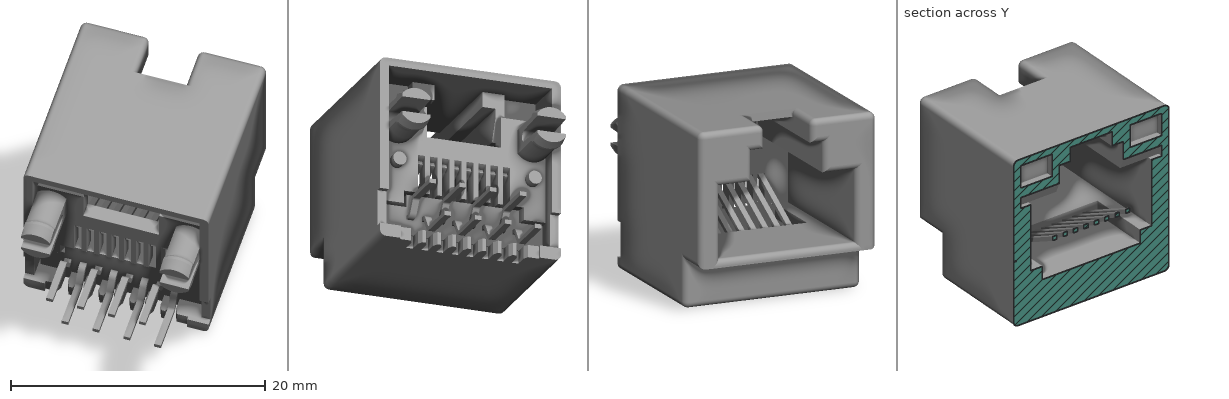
import cadquery as cq
import math


WIDTH = 15.24
HEIGHT = 15.08
LENGTH = 15.7
OVERALL_LENGTH = 19.0
EDGE_RADIUS = 0.5
STEP_LENGTH = 2.97
STEP_Z = 3.95
SIDE_WALL = 0.74
TOP_WALL = 0.65
BOTTOM_WALL = 1.04
INNER_WIDTH = WIDTH - 2 * SIDE_WALL
CEILING_Z = HEIGHT - TOP_WALL

RELIEF_DEPTH = 0.52
RELIEF_TOP_Z = 3.98

PLATE_Y = 1.43
PLATE_THICKNESS = 1.2
PLATE_BACK_Y = PLATE_Y + PLATE_THICKNESS
PLATE_TOP_Z = 11.98
WINDOW_FLOOR_Z = 9.43

PLUG_WIDTH = 11.75
PLUG_FLOOR_Z = STEP_Z + TOP_WALL
PLUG_CEILING_Z = 10.6
LATCH_WIDTH = 6.24
LATCH_STEP_Z = 13.16
NOTCH_WIDTH = 4.05
NOTCH_LENGTH = 3.68

SLOPE_TOP_Z = 12.45
SLOPE_RUN = 0.8
POCKET_INNER_X = 3.86
POCKET_DEPTH = 1.0

COVER_Y = 1.7
COVER_WIDTH = 13.46
COVER_SHOULDER_Z = 3.4
COVER_NECK_WIDTH = 9.46
COVER_TOP_Z = 4.44
COVER_GAP = 0.2
NECK_SIDE_GAP = 0.32
RECESS_WIDTH = 9.56
RECESS_END_Y = 8.68
TONGUE_TOP_Z = 3.4

CONTACT_COUNT = 8
CONTACT_PITCH = 1.02
SLOT_WIDTH = 0.61
SLOT_TOP_Z = 7.82
CONTACT_WIDTH = 0.46
CONTACT_THICKNESS = 0.36
CONTACT_TIP_Y = 1.75
CONTACT_TIP_Z = 7.2
CONTACT_ANGLE = 27.0
CONTACT_ROOT_Z = 3.2

PIN_PITCH = 1.27
PIN_WIDTH = 0.55
PIN_THICKNESS = 0.36
PIN_EXIT_Z = 2.52
PIN_ROW_OFFSET = 1.28
PIN_TIP_Y = LENGTH - OVERALL_LENGTH
PIN_BEND_Y = 0.4
PIN_BEND_ANGLE = 57.0
PIN_BEND_RADIUS = 0.25
PIN_ROOT_Y = COVER_Y + 0.5

TOOTH_TIP_Y = 0.25
TOOTH_CHAMFER_WIDTH = 0.21
TOOTH_CHAMFER_LENGTH = 0.45
PIN_GAP_END_Y = COVER_Y + 0.1
FOOT_INNER_X = 5.86

POST_X = 5.7
POST_Z = 10.12
POST_RADIUS = 1.555
POST_WIDTH = 2.37
POST_LENGTH = 2.97
BARB_RADIUS = 1.685
BARB_START = 1.6
BARB_RIDGE_START = 1.8
BARB_RIDGE_END = 2.05
POST_TIP_RADIUS = 1.47
POST_GAP_ROOT = 0.94
POST_GAP_TIP = 1.23
PEG_DIAMETER = 1.1
PEG_Z = 7.01
PEG_LENGTH = 0.8


def block(x0, x1, y0, y1, z0, z1):
    """Box between two corners."""
    return cq.Workplane("XY").box(x1 - x0, y1 - y0, z1 - z0, centered=False).translate((x0, y0, z0))


def centered_block(width, y0, y1, z0, z1):
    """Box symmetric about x = 0."""
    return block(-width / 2, width / 2, y0, y1, z0, z1)


def side_profile(points, x_center, width):
    """Closed (y, z) outline extruded along X about x_center."""
    return cq.Workplane("YZ").polyline(points).close().extrude(width / 2, both=True).translate((x_center, 0, 0))


def row_positions(count, pitch):
    """Positions of a row centered on zero."""
    return [(i - (count - 1) / 2) * pitch for i in range(count)]


CONTACT_XS = row_positions(CONTACT_COUNT, CONTACT_PITCH)
PIN_XS = row_positions(CONTACT_COUNT, PIN_PITCH)


def make_housing():
    lower_end = LENGTH - STEP_LENGTH
    outline = [
        (0, 0), (lower_end, 0), (lower_end, STEP_Z),
        (LENGTH, STEP_Z), (LENGTH, HEIGHT), (0, HEIGHT),
    ]
    body = side_profile(outline, 0, WIDTH)

    body = body.cut(centered_block(PLUG_WIDTH, PLATE_BACK_Y, LENGTH, PLUG_FLOOR_Z, PLUG_CEILING_Z))
    body = body.cut(centered_block(LATCH_WIDTH, PLATE_BACK_Y, LENGTH, PLUG_CEILING_Z, LATCH_STEP_Z))
    body = body.cut(centered_block(NOTCH_WIDTH, PLATE_BACK_Y, LENGTH, LATCH_STEP_Z, CEILING_Z))
    body = body.cut(centered_block(NOTCH_WIDTH, LENGTH - NOTCH_LENGTH, LENGTH, LATCH_STEP_Z, HEIGHT))
    body = round_housing(body)

    body = body.cut(centered_block(INNER_WIDTH, 0, PLATE_BACK_Y, BOTTOM_WALL, CEILING_Z))
    slope = [
        (PLATE_BACK_Y, PLUG_CEILING_Z),
        (PLATE_BACK_Y + SLOPE_RUN, PLUG_CEILING_Z),
        (PLATE_BACK_Y, SLOPE_TOP_Z),
    ]
    body = body.cut(side_profile(slope, 0, INNER_WIDTH))
    for x0, x1 in ((-INNER_WIDTH / 2, -POCKET_INNER_X), (POCKET_INNER_X, INNER_WIDTH / 2)):
        body = body.cut(block(x0, x1, PLATE_BACK_Y, PLATE_BACK_Y + POCKET_DEPTH, SLOPE_TOP_Z, CEILING_Z))

    body = body.cut(centered_block(RECESS_WIDTH, PLATE_BACK_Y, RECESS_END_Y, BOTTOM_WALL, PLUG_FLOOR_Z))
    return body.cut(centered_block(WIDTH, 0, RELIEF_DEPTH, BOTTOM_WALL, RELIEF_TOP_Z))


def round_housing(body):
    """Round the outer long edges, the plug side rim, the step sides and the notch edges."""
    tol = 0.01
    lower_end = LENGTH - STEP_LENGTH

    def is_rounded(edge):
        box = edge.BoundingBox()
        center = edge.Center()
        on_side = abs(abs(center.x) - WIDTH / 2) < tol
        on_top = abs(center.z - HEIGHT) < tol
        on_bottom = abs(center.z) < tol
        along_y = box.ylen > tol
        at_rim = box.ymin > LENGTH - tol and center.z > STEP_Z + tol
        at_lower_end = abs(center.y - lower_end) < tol and not along_y and (on_side or on_bottom)
        notch_edge = on_top and along_y
        side_edge = on_side and along_y
        return at_rim or at_lower_end or notch_edge or side_edge

    edges = [edge for edge in body.edges().vals() if is_rounded(edge)]
    return body.newObject(edges).fillet(EDGE_RADIUS)


def make_bottom_gaps():
    """Space cut from the bottom wall so that shoulders and teeth remain between the pins."""
    gaps = centered_block(2 * FOOT_INNER_X, 0, TOOTH_TIP_Y, 0, BOTTOM_WALL)
    half_gap = PIN_WIDTH / 2
    half_mouth = half_gap + TOOTH_CHAMFER_WIDTH
    chamfer_end = TOOTH_TIP_Y + TOOTH_CHAMFER_LENGTH
    for x in PIN_XS:
        gap = (
            cq.Workplane("XY")
            .polyline([
                (x - half_mouth, TOOTH_TIP_Y), (x + half_mouth, TOOTH_TIP_Y),
                (x + half_gap, chamfer_end), (x + half_gap, PIN_GAP_END_Y),
                (x - half_gap, PIN_GAP_END_Y), (x - half_gap, chamfer_end),
            ])
            .close()
            .extrude(BOTTOM_WALL)
        )
        gaps = gaps.union(gap)
    return gaps


def make_plate():
    shoulder_front_z = COVER_SHOULDER_Z + COVER_GAP
    neck_top = COVER_TOP_Z + COVER_GAP
    outline = [
        (PLATE_Y, shoulder_front_z), (PLATE_BACK_Y, COVER_SHOULDER_Z),
        (PLATE_BACK_Y, PLATE_TOP_Z), (PLATE_Y, PLATE_TOP_Z),
    ]
    plate = side_profile(outline, 0, INNER_WIDTH)
    plate = plate.cut(centered_block(LATCH_WIDTH, PLATE_Y, PLATE_BACK_Y, WINDOW_FLOOR_Z, PLATE_TOP_Z))

    back_half = COVER_NECK_WIDTH / 2
    front_half = back_half + NECK_SIDE_GAP
    neck_opening = (
        cq.Workplane("XY", origin=(0, 0, COVER_SHOULDER_Z))
        .polyline([
            (-front_half, PLATE_Y), (front_half, PLATE_Y),
            (back_half, PLATE_BACK_Y), (-back_half, PLATE_BACK_Y),
        ])
        .close()
        .extrude(neck_top - COVER_SHOULDER_Z)
    )
    plate = plate.cut(neck_opening)

    slot_drop = PLATE_THICKNESS * math.tan(math.radians(CONTACT_ANGLE))
    slot = [
        (PLATE_Y, neck_top), (PLATE_BACK_Y, neck_top),
        (PLATE_BACK_Y, SLOT_TOP_Z - slot_drop), (PLATE_Y, SLOT_TOP_Z),
    ]
    for x in CONTACT_XS:
        plate = plate.cut(side_profile(slot, x, SLOT_WIDTH))
    return plate


def make_contact_block():
    cover = centered_block(COVER_WIDTH, COVER_Y, PLATE_BACK_Y, BOTTOM_WALL, COVER_SHOULDER_Z)
    neck = centered_block(COVER_NECK_WIDTH, COVER_Y, PLATE_BACK_Y, BOTTOM_WALL, COVER_TOP_Z)
    tongue = centered_block(RECESS_WIDTH, PLATE_BACK_Y, RECESS_END_Y, BOTTOM_WALL, TONGUE_TOP_Z)
    return cover.union(neck).union(tongue)


def make_contact(x):
    """Straight strip rising from the cavity floor toward its slot in the plate."""
    slope = math.radians(CONTACT_ANGLE)
    root_y = CONTACT_TIP_Y + (CONTACT_TIP_Z - CONTACT_ROOT_Z) / math.tan(slope)
    top_dy = CONTACT_THICKNESS * math.sin(slope)
    top_dz = CONTACT_THICKNESS * math.cos(slope)
    outline = [
        (CONTACT_TIP_Y, CONTACT_TIP_Z), (root_y, CONTACT_ROOT_Z),
        (root_y + top_dy, CONTACT_ROOT_Z + top_dz), (CONTACT_TIP_Y + top_dy, CONTACT_TIP_Z + top_dz),
    ]
    return side_profile(outline, x, CONTACT_WIDTH)


def make_pin(x, direction):
    """Bent pin: a stub out of the cover, a steep rise or fall, then a straight leg."""
    half = PIN_THICKNESS / 2
    miter = half * math.tan(math.radians(PIN_BEND_ANGLE / 2))
    stub_bend_y = PIN_BEND_Y + PIN_ROW_OFFSET / math.tan(math.radians(PIN_BEND_ANGLE))
    offsets = [
        (PIN_ROOT_Y, half), (stub_bend_y + miter, half),
        (PIN_BEND_Y + miter, PIN_ROW_OFFSET + half), (PIN_TIP_Y, PIN_ROW_OFFSET + half),
        (PIN_TIP_Y, PIN_ROW_OFFSET - half), (PIN_BEND_Y - miter, PIN_ROW_OFFSET - half),
        (stub_bend_y - miter, -half), (PIN_ROOT_Y, -half),
    ]
    outline = [(y, PIN_EXIT_Z + direction * offset) for y, offset in offsets]
    stub_top, leg_top, leg_bottom, stub_bottom = outline[1], outline[2], outline[5], outline[6]
    pin = side_profile(outline, x, PIN_WIDTH)
    pin = round_bend(pin, [stub_top, leg_bottom], PIN_BEND_RADIUS)
    return round_bend(pin, [leg_top, stub_bottom], PIN_BEND_RADIUS + PIN_THICKNESS)


def round_bend(pin, corners, radius):
    """Round the pin edges that run along X through the given (y, z) corners."""
    tol = 0.001
    edges = []
    for edge in pin.edges("|X").vals():
        center = edge.Center()
        if any(math.hypot(center.y - y, center.z - z) < tol for y, z in corners):
            edges.append(edge)
    return pin.newObject(edges).fillet(radius)


def make_post(x):
    """Split snap post with a barb, flat sides and a round-ended tapering gap."""
    outline = [
        (0, PLATE_Y), (POST_RADIUS, PLATE_Y), (POST_RADIUS, -BARB_START),
        (BARB_RADIUS, -BARB_RIDGE_START), (BARB_RADIUS, -BARB_RIDGE_END),
        (POST_TIP_RADIUS, -POST_LENGTH), (0, -POST_LENGTH),
    ]
    post = cq.Workplane("XY").polyline(outline).close().revolve(360, (0, 0, 0), (0, 1, 0))
    flats = centered_block(POST_WIDTH, -POST_LENGTH, PLATE_Y, -BARB_RADIUS, BARB_RADIUS)
    root_half = POST_GAP_ROOT / 2
    tip_half = POST_GAP_TIP / 2
    gap = (
        cq.Workplane("YZ")
        .moveTo(-POST_LENGTH, -tip_half)
        .lineTo(0, -root_half)
        .threePointArc((root_half, 0), (0, root_half))
        .lineTo(-POST_LENGTH, tip_half)
        .close()
        .extrude(POST_WIDTH / 2, both=True)
    )
    return post.intersect(flats).cut(gap).translate((x, 0, POST_Z))


def make_peg(x):
    return (
        cq.Workplane("XZ", origin=(x, PLATE_Y, PEG_Z))
        .circle(PEG_DIAMETER / 2)
        .extrude(PEG_LENGTH)
    )


result = make_housing().cut(make_bottom_gaps())
result = result.union(make_plate()).union(make_contact_block())
for contact_x in CONTACT_XS:
    result = result.union(make_contact(contact_x))
for index, pin_x in enumerate(PIN_XS):
    result = result.union(make_pin(pin_x, 1 if index % 2 == 0 else -1))
for post_x in (-POST_X, POST_X):
    result = result.union(make_post(post_x)).union(make_peg(post_x))